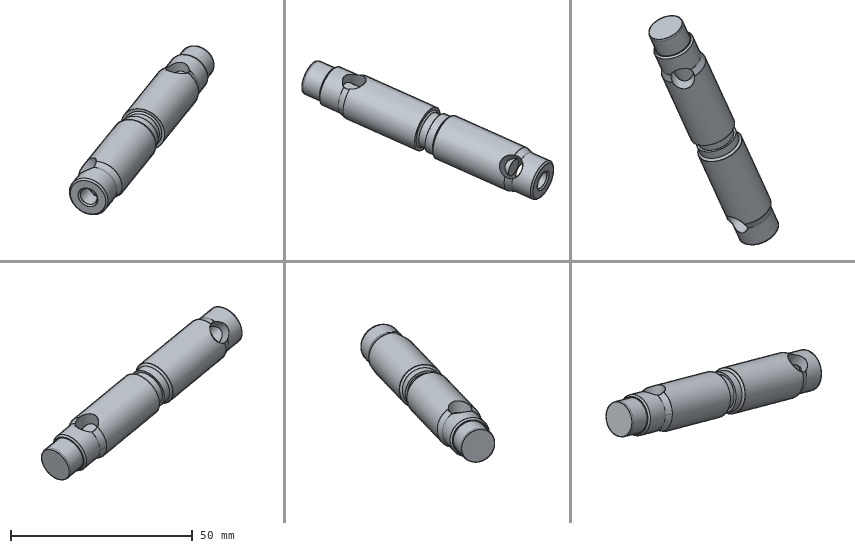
import cadquery as cq


sleeve_length = 32.0
sleeve_diameter = 13.0
sleeve_radius = sleeve_diameter / 2
land_radius = 5.8
land_length = 6.5
cone_length = 2.1
land_chamfer = 0.5
cross_hole_radius = 3.25
cross_hole_from_end = 8.0
front_hole_tilt = 41.0
rear_hole_tilt = 0.0

stub_radius = 2.5
stub_tip_y = 9.75
rod_radius = 3.0
collar_radius = 5.8
collar_length = 3.0
collar_chamfer = 0.6
neck_radius = 5.15
neck_length = 3.0
neck_chamfer = 0.5
tail_radius = 5.0
tail_length = 6.0
tail_chamfer_length = 0.5
tail_chamfer_depth = 0.13

mouth_chamfer = 0.45

front_sleeve_end = sleeve_length
neck_start = front_sleeve_end + collar_length
rear_sleeve_start = neck_start + neck_length
rear_sleeve_end = rear_sleeve_start + sleeve_length
tail_end = rear_sleeve_end + tail_length


def revolve_about_y(profile):
    """Turn a closed list of (radius, y) points about the Y axis."""
    return cq.Workplane("XY").polyline(profile).close().revolve(360, (0, 0, 0), (0, 1, 0))


def make_sleeve(bore_radius, hole_tilt):
    """Sleeve with its land end at y = 0, bored through and cross-drilled."""
    body = revolve_about_y([
        (bore_radius, 0),
        (land_radius - land_chamfer, 0),
        (land_radius, land_chamfer),
        (land_radius, land_length),
        (sleeve_radius, land_length + cone_length),
        (sleeve_radius, sleeve_length),
        (bore_radius, sleeve_length),
    ])
    cross_hole = (
        cq.Workplane("XY")
        .center(0, cross_hole_from_end)
        .circle(cross_hole_radius)
        .extrude(sleeve_diameter, both=True)
        .rotate((0, 0, 0), (0, 1, 0), -hole_tilt)
    )
    return body.cut(cross_hole)


def make_front_sleeve():
    """Front sleeve, with a chamfered mouth at the open end of its bore."""
    mouth = revolve_about_y([
        (0, 0),
        (stub_radius + mouth_chamfer, 0),
        (stub_radius, mouth_chamfer),
        (0, mouth_chamfer),
    ])
    return make_sleeve(stub_radius, front_hole_tilt).cut(mouth)


def make_rear_sleeve():
    """Rear sleeve, turned end for end so that its land faces +Y."""
    sleeve = make_sleeve(rod_radius, rear_hole_tilt)
    return sleeve.rotate((0, 0, 0), (0, 0, 1), 180).translate((0, rear_sleeve_end, 0))


def make_core():
    """Stepped core: front stub, collar, neck, rod through the rear sleeve, and tail pin."""
    return revolve_about_y([
        (0, stub_tip_y),
        (stub_radius, stub_tip_y),
        (stub_radius, front_sleeve_end),
        (collar_radius + collar_chamfer, front_sleeve_end),
        (collar_radius, front_sleeve_end + collar_chamfer),
        (collar_radius, neck_start),
        (neck_radius, neck_start),
        (neck_radius, rear_sleeve_start - neck_chamfer),
        (neck_radius + neck_chamfer, rear_sleeve_start),
        (rod_radius, rear_sleeve_start),
        (rod_radius, rear_sleeve_end),
        (tail_radius, rear_sleeve_end),
        (tail_radius, tail_end - tail_chamfer_length),
        (tail_radius - tail_chamfer_depth, tail_end),
        (0, tail_end),
    ])


front_sleeve = make_front_sleeve()
rear_sleeve = make_rear_sleeve()
core = make_core()

result = cq.Compound.makeCompound([front_sleeve.val(), rear_sleeve.val(), core.val()])